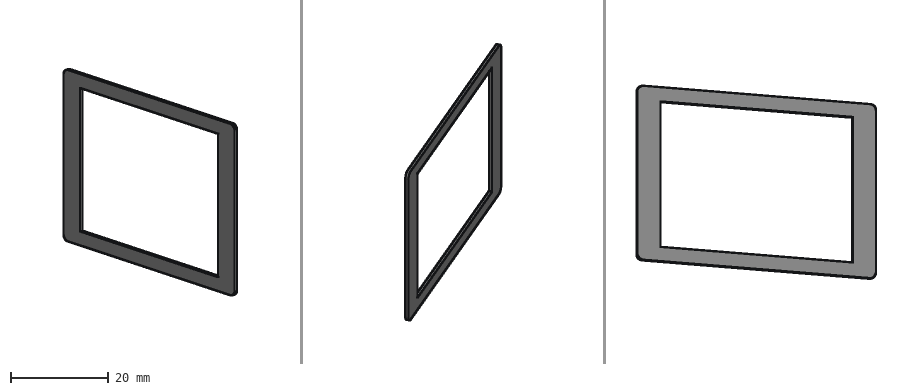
import cadquery as cq

width = 51.4
height = 37.2
thickness = 0.7
corner_radius = 1.3

window_width = 41.4
window_height = 31.1

plate = cq.Workplane("XY").box(width, thickness, height)
plate = plate.edges("|Y").fillet(corner_radius)

window = cq.Workplane("XY").box(window_width, thickness, window_height)

result = plate.cut(window)